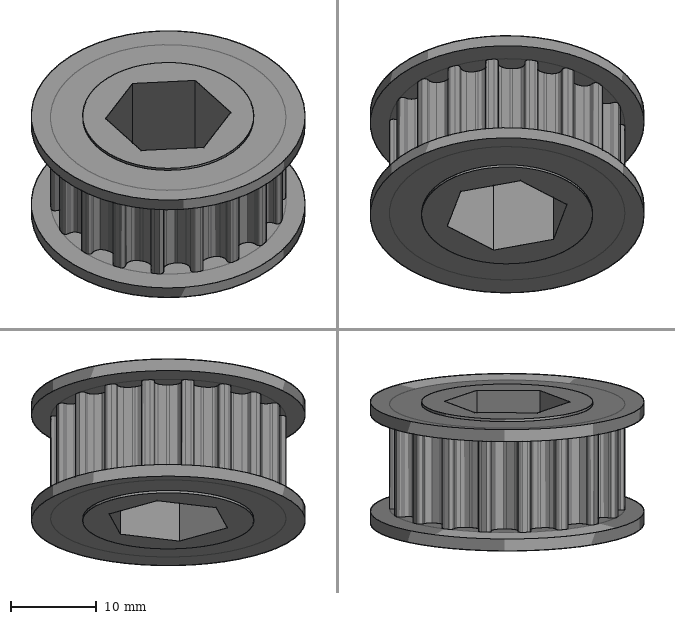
import cadquery as cq
import math

flange_diameter = 32.0
height = 14.5

flange_thickness = 1.45
dish_depth = 0.3

hub_diameter = 20.0
hex_across_flats = 12.7

tooth_count = 18
tooth_diameter = 27.52
groove_depth = 2.05
groove_half_width = 1.57
groove_flat_half_width = 0.15
groove_floor_radius = 1.65
groove_floor_half_width = 1.15
tooth_tip_fillet = 0.45

flange_radius = flange_diameter / 2
tooth_radius = tooth_diameter / 2
hub_radius = hub_diameter / 2
tooth_pitch_angle = 360 / tooth_count
belt_width = height - 2 * (flange_thickness + dish_depth)


def make_flange():
    """Upper flange, revolved about Z: its dished side faces up and its cone faces the belt."""
    bottom = belt_width / 2
    section = [
        (0, bottom),
        (tooth_radius, bottom),
        (flange_radius, bottom + dish_depth),
        (flange_radius, bottom + dish_depth + flange_thickness),
        (tooth_radius, bottom + flange_thickness),
        (0, bottom + flange_thickness),
    ]
    return cq.Workplane("XZ").polyline(section).close().revolve(360, (0, 0), (0, 1))


def point_on_arc(centre, radius, angle):
    """Point at the given angle (radians) on a circle."""
    return (centre[0] + radius * math.cos(angle), centre[1] + radius * math.sin(angle))


def mirrored(point):
    """Point reflected in the X axis, the symmetry line of the groove."""
    return (point[0], -point[1])


def make_groove_cutter():
    """Cutter for one groove on the +X side: narrow flat, floor arcs, corner arcs, walls, tip fillets."""
    floor_x = tooth_radius - groove_depth

    floor_centre = (floor_x + groove_floor_radius, groove_flat_half_width)
    floor_sweep = math.asin((groove_floor_half_width - groove_flat_half_width) / groove_floor_radius)
    flat_end = (floor_x, groove_flat_half_width)
    floor_middle = point_on_arc(floor_centre, groove_floor_radius, math.pi - floor_sweep / 2)
    floor_end = point_on_arc(floor_centre, groove_floor_radius, math.pi - floor_sweep)

    corner_radius = (groove_half_width - groove_floor_half_width) / (1 - math.sin(floor_sweep))
    corner_centre = point_on_arc(floor_end, corner_radius, -floor_sweep)
    corner_middle = point_on_arc(corner_centre, corner_radius, 3 * math.pi / 4 - floor_sweep / 2)
    wall_start = (corner_centre[0], groove_half_width)

    tip_centre_y = groove_half_width + tooth_tip_fillet
    tip_centre_x = math.sqrt((tooth_radius - tooth_tip_fillet) ** 2 - tip_centre_y**2)
    tip_centre = (tip_centre_x, tip_centre_y)
    tip_angle = math.atan2(tip_centre_y, tip_centre_x)
    wall_end = (tip_centre_x, groove_half_width)
    tip_middle = point_on_arc(tip_centre, tooth_tip_fillet, (tip_angle - math.pi / 2) / 2)
    tip_end = point_on_arc(tip_centre, tooth_tip_fillet, tip_angle)
    mouth = (flange_radius, tip_end[1])

    return (
        cq.Workplane("XY")
        .workplane(offset=-belt_width / 2)
        .moveTo(*mirrored(mouth))
        .lineTo(*mirrored(tip_end))
        .threePointArc(mirrored(tip_middle), mirrored(wall_end))
        .lineTo(*mirrored(wall_start))
        .threePointArc(mirrored(corner_middle), mirrored(floor_end))
        .threePointArc(mirrored(floor_middle), mirrored(flat_end))
        .lineTo(*flat_end)
        .threePointArc(floor_middle, floor_end)
        .threePointArc(corner_middle, wall_start)
        .lineTo(*wall_end)
        .threePointArc(tip_middle, tip_end)
        .lineTo(*mouth)
        .close()
        .extrude(belt_width)
    )


def make_toothed_core():
    """Belt cylinder with one groove midway between each pair of teeth."""
    core = cq.Workplane("XY").circle(tooth_radius).extrude(belt_width / 2, both=True)
    cutter = make_groove_cutter()
    for index in range(tooth_count):
        angle = (index + 0.5) * tooth_pitch_angle
        core = core.cut(cutter.rotate((0, 0, 0), (0, 0, 1), angle))
    return core


def make_hub():
    """Hub through the full height, ending level with the flange rims."""
    return cq.Workplane("XY").circle(hub_radius).extrude(height / 2, both=True)


def make_hex_bore():
    """Hexagonal through bore."""
    across_corners = hex_across_flats / math.cos(math.pi / 6)
    return cq.Workplane("XY").polygon(6, across_corners).extrude(height, both=True)


upper_flange = make_flange()
lower_flange = upper_flange.mirror("XY")

result = (
    make_toothed_core()
    .union(upper_flange)
    .union(lower_flange)
    .union(make_hub())
    .cut(make_hex_bore())
)